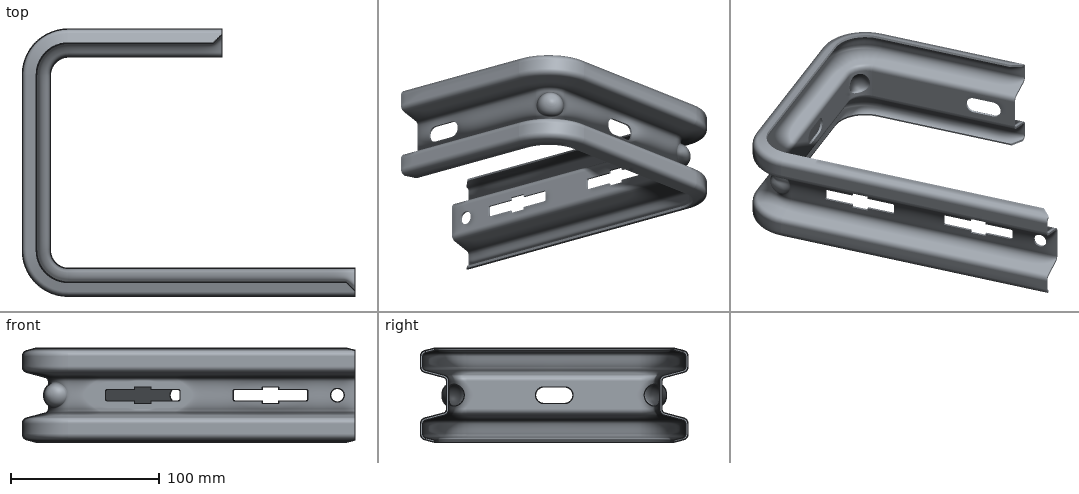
import cadquery as cq
import math

LONG_ARM = 224.0
SHORT_ARM = 134.5
SPAN = 180.0
HEIGHT = 63.43
CORNER_RADIUS = 31.0

DEPTH = 19.0
THICKNESS = 1.5
BEND_RADIUS = 4.0
FLARE = math.radians(15)
LIP_REACH = 9.35
WEB_HALF = 9.5

LIP_CUT = 5.8
LIP_CUT_DROP = 5.0

OBROUND_LENGTH = 25.0
OBROUND_WIDTH = 11.0
SHORT_ARM_SLOT_FROM_END = 22.5

CROSS_LENGTH = 50.0
CROSS_WIDTH = 7.5
CROSS_SQUARE = 11.0
CROSS_END_RADIUS = 1.0
CROSS_FROM_END = (57.0, 143.0)
END_HOLE_DIAMETER = 9.0
END_HOLE_FROM_END = 12.0

DOME_RADIUS = 9.0
DOME_CENTRE = 10.9
DOME_TIP_RADIUS = 3.2
DOME_REACH = 20.1
DOME_BASE_FILLET = 0.6

OUTER_Y = SPAN / 2
BEND_Y = OUTER_Y - CORNER_RADIUS
INNER_BEND = BEND_RADIUS - THICKNESS
WEB_MIDDLE = DEPTH - THICKNESS / 2
CUTTER_LENGTH = 4 * THICKNESS
FACE_FOLD = 1


def on_fold(fold, radius, turn):
    """Point on a fold, turned by an angle from the flat face the fold touches."""
    depth, height, side, up = fold
    return (depth + side * radius * math.cos(turn), height + up * radius * math.sin(turn))


def upper_skin(folds, radii):
    """Start, middle and end of the arc on each fold, from the web up to the lip."""
    full_turn = math.pi / 2 - FLARE
    arcs = []
    for index, (fold, radius) in enumerate(zip(folds, radii)):
        turns = [0, full_turn / 2, full_turn]
        if index == FACE_FOLD:
            turns.reverse()
        arcs.append([on_fold(fold, radius, turn) for turn in turns])
    return arcs


def section_folds():
    """Centres of the upper folds as (depth, height), each with the signs of its bulge."""
    sine, cosine, tangent = math.sin(FLARE), math.cos(FLARE), math.tan(FLARE)
    face_edge = BEND_RADIUS * (1 - sine)
    web_depth = DEPTH - BEND_RADIUS
    wall_run = web_depth + INNER_BEND * sine - face_edge
    wall_rise = wall_run * tangent
    face_height = WEB_HALF + (INNER_BEND + BEND_RADIUS) * cosine + wall_rise
    lip_height = HEIGHT / 2 - (LIP_REACH - face_edge) * tangent - BEND_RADIUS * cosine
    return (
        (web_depth, WEB_HALF, 1, 1),
        (BEND_RADIUS, face_height, -1, -1),
        (BEND_RADIUS, lip_height, -1, 1),
    )


def mirrored(arcs):
    """Skin below the middle of the web, from the lip up to the web."""
    return [[(depth, -height) for depth, height in reversed(arc)] for arc in reversed(arcs)]


def reverse(arcs):
    return [arc[::-1] for arc in reversed(arcs)]


def section():
    """Closed outline of the rail's cross-section on the free end of the long arm."""
    folds = section_folds()
    outside = upper_skin(folds, (INNER_BEND, BEND_RADIUS, BEND_RADIUS))
    inside = upper_skin(folds, (BEND_RADIUS, INNER_BEND, INNER_BEND))
    outer_lip = (LIP_REACH, HEIGHT / 2)
    inner_lip = (LIP_REACH + THICKNESS * math.sin(FLARE), HEIGHT / 2 - THICKNESS * math.cos(FLARE))

    def place(point):
        return (point[0] - OUTER_Y, point[1])

    def trace(outline, arcs):
        for start, mid, end in arcs:
            outline = outline.lineTo(*place(start)).threePointArc(place(mid), place(end))
        return outline

    outline = cq.Workplane("YZ", origin=(LONG_ARM, 0, 0)).moveTo(*place((LIP_REACH, -HEIGHT / 2)))
    outline = trace(outline, mirrored(outside) + outside)
    outline = outline.lineTo(*place(outer_lip)).lineTo(*place(inner_lip))
    outline = trace(outline, reverse(inside) + reverse(mirrored(inside)))
    return outline.lineTo(*place((inner_lip[0], -inner_lip[1]))).close()


def bent_rail():
    mid = CORNER_RADIUS * (1 - math.sqrt(0.5))
    path = (
        cq.Workplane("XY")
        .moveTo(LONG_ARM, -OUTER_Y)
        .lineTo(CORNER_RADIUS, -OUTER_Y)
        .threePointArc((mid, mid - OUTER_Y), (0, -BEND_Y))
        .lineTo(0, BEND_Y)
        .threePointArc((mid, OUTER_Y - mid), (CORNER_RADIUS, OUTER_Y))
        .lineTo(SHORT_ARM, OUTER_Y)
    )
    return section().sweep(path)


def cut_lip_corners(rail):
    """Trim the free corner of each lip at 45 degrees where the arms end."""
    for side, arm_end in ((-1, LONG_ARM), (1, SHORT_ARM)):
        lip_edge = side * (OUTER_Y - LIP_REACH)
        overrun = THICKNESS
        inner_y = lip_edge - side * overrun
        outer_y = lip_edge + side * (LIP_CUT + overrun)
        cutter = (
            cq.Workplane("XY")
            .polyline([
                (arm_end - LIP_CUT - overrun, inner_y),
                (arm_end + overrun, inner_y),
                (arm_end + overrun, outer_y),
            ])
            .close()
            .extrude(LIP_CUT_DROP)
        )
        for base in (HEIGHT / 2 - LIP_CUT_DROP, -HEIGHT / 2):
            rail = rail.cut(cutter.translate((0, 0, base)))
    return rail


def arm_plane(x, side):
    """Plane in the middle of an arm's web, centred at the given X."""
    return cq.Workplane("XZ", origin=(x, side * (OUTER_Y - WEB_MIDDLE), 0))


def cut_long_arm_openings(rail):
    for from_end in CROSS_FROM_END:
        plane = arm_plane(LONG_ARM - from_end, -1)
        slot = plane.rect(CROSS_LENGTH, CROSS_WIDTH).extrude(CUTTER_LENGTH / 2, both=True)
        slot = slot.edges("|Y").fillet(CROSS_END_RADIUS)
        square = plane.rect(CROSS_SQUARE, CROSS_SQUARE).extrude(CUTTER_LENGTH / 2, both=True)
        rail = rail.cut(slot).cut(square)
    hole = arm_plane(LONG_ARM - END_HOLE_FROM_END, -1).circle(END_HOLE_DIAMETER / 2)
    return rail.cut(hole.extrude(CUTTER_LENGTH / 2, both=True))


def cut_obrounds(rail):
    planes = (
        arm_plane(SHORT_ARM - SHORT_ARM_SLOT_FROM_END, 1),
        cq.Workplane("YZ", origin=(WEB_MIDDLE, 0, 0)),
    )
    for plane in planes:
        slot = plane.slot2D(OBROUND_LENGTH, OBROUND_WIDTH).extrude(CUTTER_LENGTH / 2, both=True)
        rail = rail.cut(slot)
    return rail


def dome(radius, tip_rim, reach):
    """Ball with a raised tip along Z, measured from the corner's bend axis at the origin."""
    rim_height = DOME_CENTRE + math.sqrt(radius ** 2 - tip_rim ** 2)
    tip_rise = reach - rim_height
    tip_radius = (tip_rim ** 2 + tip_rise ** 2) / (2 * tip_rise)
    tip_mid_x = tip_rim / 2
    tip_mid = (tip_mid_x, reach - tip_radius + math.sqrt(tip_radius ** 2 - tip_mid_x ** 2))
    return (
        cq.Workplane("XZ")
        .moveTo(0, DOME_CENTRE - radius)
        .threePointArc((radius, DOME_CENTRE), (tip_rim, rim_height))
        .threePointArc(tip_mid, (0, reach))
        .close()
        .revolve(360, (0, 0, 0), (0, 1, 0))
    )


def at_corner(body, side):
    """Turn a body from the Z axis to the outward diagonal of the corner at +Y or -Y."""
    upright = body.rotate((0, 0, 0), (0, 1, 0), -90)
    return upright.rotate((0, 0, 0), (0, 0, 1), -45 * side).translate((CORNER_RADIUS, side * BEND_Y, 0))


def round_dome_base(rail, side):
    """Blend a dome into the web along the curved edge where the two meet."""
    margin = THICKNESS
    dome_zone = cq.selectors.BoxSelector(
        (0, side * (BEND_Y - margin), -WEB_HALF),
        (CORNER_RADIUS + margin, side * OUTER_Y, WEB_HALF),
    )
    return rail.edges(dome_zone).edges("%BSPLINE").fillet(DOME_BASE_FILLET)


def add_domes(rail):
    web_core = cq.Workplane("XY").circle(CORNER_RADIUS - WEB_MIDDLE).extrude(HEIGHT / 2, both=True)
    for side in (-1, 1):
        shell = at_corner(dome(DOME_RADIUS, DOME_TIP_RADIUS, DOME_REACH), side)
        shell = shell.cut(web_core.translate((CORNER_RADIUS, side * BEND_Y, 0)))
        hollow = dome(DOME_RADIUS - THICKNESS, DOME_TIP_RADIUS - THICKNESS / 2, DOME_REACH - THICKNESS)
        rail = round_dome_base(rail.union(shell), side).cut(at_corner(hollow, side))
    return rail


rail = add_domes(bent_rail())
rail = cut_lip_corners(rail)
rail = cut_long_arm_openings(rail)
result = cut_obrounds(rail)